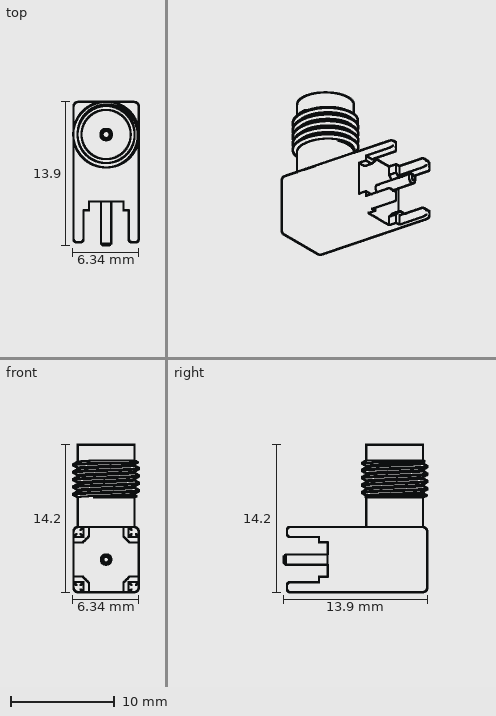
import cadquery as cq


block_side = 6.3
block_length = 9.6
block_fillet = 0.5
half_side = block_side / 2
back_y = half_side
front_y = back_y - block_length

standoff_side = 1.5
standoff_chamfer = 0.6
standoff_length = 0.85
leg_side = 1.0
leg_reach = 3.93
leg_tip_fillet = 0.35

pin_radius = 0.5
pin_reach = 4.23
pin_tip_chamfer = 0.21
pin_embed = 0.71

top_z = 14.2
barrel_diameter = 5.5
barrel_radius = barrel_diameter / 2
bore_radius = 2.37
bore_depth = 2.16
bore_floor_z = top_z - bore_depth

contact_recess_radius = 0.55
contact_recess_depth = 0.14
contact_hole_radius = 0.35
contact_hole_depth = 1.42

thread_radius = 3.17
thread_pitch = 0.71
thread_turns = 5
thread_bottom_z = 9.13
thread_length = thread_turns * thread_pitch
thread_top_z = thread_bottom_z + thread_length
thread_crest_width = 0.09
thread_base_width = 0.57
thread_embed = 0.04
thread_lead_in = 0.77


def front_corner(outline, length):
    """Prism on the front face: outline is in X and height above the block's mid-plane."""
    plane = cq.Plane(origin=(0, front_y, half_side), xDir=(1, 0, 0), normal=(0, -1, 0))
    return cq.Workplane(plane).polyline(outline).close().extrude(length)


def make_block():
    """Block with its stand-offs and legs, all sharing the same rounded outer corners."""
    full_length = block_length + leg_reach
    envelope = (
        cq.Workplane("XY")
        .box(block_side, full_length, block_side, centered=(True, False, False))
        .translate((0, back_y - full_length, 0))
        .edges("|Y or >Y")
        .fillet(block_fillet)
    )
    shape = (
        cq.Workplane("XY")
        .box(block_side, block_length, block_side, centered=(True, False, False))
        .translate((0, front_y, 0))
    )
    standoff_inner = half_side - standoff_side
    chamfer_end = standoff_inner + standoff_chamfer
    leg_inner = half_side - leg_side
    standoff = [
        (half_side, half_side),
        (standoff_inner, half_side),
        (standoff_inner, chamfer_end),
        (chamfer_end, standoff_inner),
        (half_side, standoff_inner),
    ]
    leg = [
        (half_side, half_side),
        (leg_inner, half_side),
        (leg_inner, leg_inner),
        (half_side, leg_inner),
    ]
    for side_x in (-1, 1):
        for side_z in (-1, 1):
            for outline, length in ((standoff, standoff_length), (leg, leg_reach)):
                corner = [(side_x * x, side_z * z) for x, z in outline]
                shape = shape.union(front_corner(corner, length))
    return envelope.intersect(shape).faces("<Y").edges().fillet(leg_tip_fillet)


def make_pin():
    """Centre pin in the middle of the front face, with a chamfered tip."""
    plane = cq.Plane(
        origin=(0, front_y + pin_embed, half_side), xDir=(1, 0, 0), normal=(0, -1, 0)
    )
    pin = cq.Workplane(plane).circle(pin_radius).extrude(pin_embed + pin_reach)
    return pin.faces("<Y").chamfer(pin_tip_chamfer)


def make_thread():
    """Helical ridge, trimmed to the threaded length with both ends sloped."""
    inner_radius = barrel_radius - thread_embed
    flank_slope = (thread_base_width - thread_crest_width) / 2 / (thread_radius - barrel_radius)
    half_base = thread_base_width / 2 + thread_embed * flank_slope
    half_crest = thread_crest_width / 2
    ridge_z = thread_bottom_z - thread_lead_in
    helix = cq.Wire.makeHelix(
        thread_pitch, thread_length + 2 * thread_pitch, inner_radius
    ).translate(cq.Vector(0, 0, ridge_z))
    ridge = (
        cq.Workplane("XZ")
        .polyline(
            [
                (inner_radius, ridge_z - half_base),
                (thread_radius, ridge_z - half_crest),
                (thread_radius, ridge_z + half_crest),
                (inner_radius, ridge_z + half_base),
            ]
        )
        .close()
        .sweep(cq.Workplane(helix), isFrenet=True)
    )
    trim_radius = thread_radius + thread_embed
    end_slope_length = (trim_radius - barrel_radius) * flank_slope
    trim = (
        cq.Workplane("XZ")
        .polyline(
            [
                (0, thread_bottom_z),
                (barrel_radius, thread_bottom_z),
                (trim_radius, thread_bottom_z + end_slope_length),
                (trim_radius, thread_top_z - end_slope_length),
                (barrel_radius, thread_top_z),
                (0, thread_top_z),
            ]
        )
        .close()
        .revolve(360, (0, 0, 0), (0, 1, 0))
    )
    return ridge.intersect(trim)


def make_barrel():
    """Threaded barrel rising from the middle of the block."""
    base = cq.Workplane("XY", origin=(0, 0, half_side))
    barrel = base.circle(barrel_radius).extrude(top_z - half_side)
    return barrel.union(make_thread())


def hole(radius, z, depth):
    """Round hole on the barrel axis, going down from height z."""
    return cq.Workplane("XY", origin=(0, 0, z)).circle(radius).extrude(-depth)


result = (
    make_barrel()
    .union(make_block())
    .union(make_pin())
    .cut(hole(bore_radius, top_z, bore_depth))
    .cut(hole(contact_recess_radius, bore_floor_z, contact_recess_depth))
    .cut(hole(contact_hole_radius, bore_floor_z, contact_hole_depth))
)